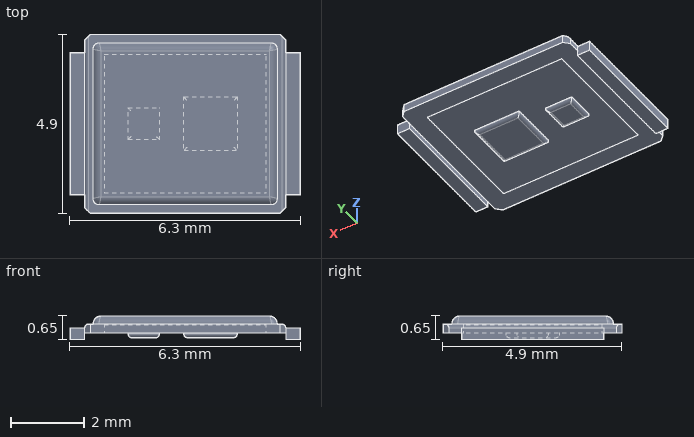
import cadquery as cq

overall_length = 6.3
overall_width = 4.9
overall_height = 0.65

tab_length = 0.4
flange_length = overall_length - 2 * tab_length
flange_bottom = 0.175
flange_top = 0.43
flange_thickness = flange_top - flange_bottom
corner_chamfer = 0.16
bend_radius = 0.11

tab_width = 3.895
tab_height = flange_top - bend_radius

dome_length = 5.04
dome_width = 4.42
dome_height = overall_height - flange_top
dome_corner_radius = 0.16
dome_edge_radius = 0.215

die_inset = 0.315
die_length = dome_length - 2 * die_inset
die_width = dome_width - 2 * die_inset
die_thickness = dome_height
pad_bottom = 0.05
pad_height = flange_bottom - pad_bottom
pad_edge_radius = 0.11
gate_pad_length = 0.86
gate_pad_x = -1.135
source_pad_length = 1.47
source_pad_x = 0.69


def block(length, width, height, bottom, x=0):
    """Box centred on Y = 0, standing on the given Z level."""
    return (
        cq.Workplane("XY")
        .box(length, width, height, centered=(True, True, False))
        .translate((x, 0, bottom))
    )


def die_block():
    return block(die_length, die_width, die_thickness, flange_bottom)


def make_can():
    flange = block(flange_length, overall_width, flange_thickness, flange_bottom)
    flange = flange.faces(">Z").edges("|Y").fillet(bend_radius)
    plan = block(flange_length, overall_width, flange_thickness, flange_bottom)
    flange = flange.intersect(plan.edges("|Z").chamfer(corner_chamfer))

    dome = block(dome_length, dome_width, dome_height, flange_top)
    dome = dome.edges("|Z").fillet(dome_corner_radius)
    dome = dome.faces(">Z").edges().fillet(dome_edge_radius)

    can = flange.union(dome)
    for side in (-1, 1):
        tab_x = side * (overall_length - tab_length) / 2
        can = can.union(block(tab_length, tab_width, tab_height, 0, tab_x))
    return can.cut(die_block())


def make_die():
    die = die_block()
    pads = ((gate_pad_length, gate_pad_x), (source_pad_length, source_pad_x))
    for pad_size, pad_x in pads:
        pad = block(pad_size, pad_size, pad_height, pad_bottom, pad_x)
        die = die.union(pad.faces("<Z").edges().fillet(pad_edge_radius))
    return die


can = make_can()
die = make_die()
result = cq.Compound.makeCompound([can.val(), die.val()])